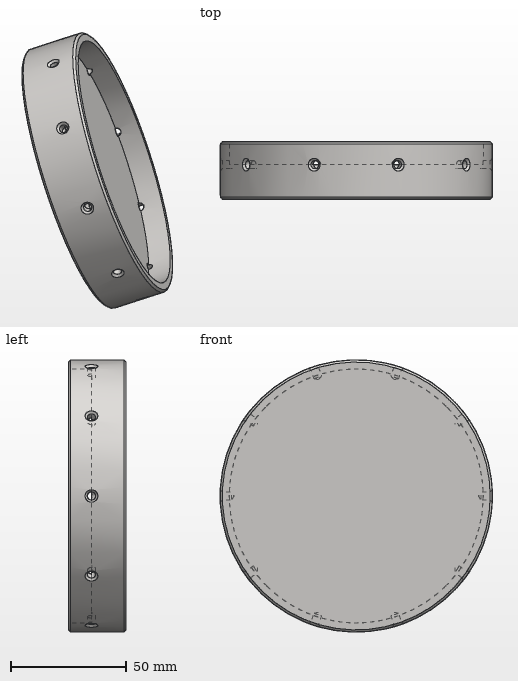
import cadquery as cq
import math

outer_diameter = 118.0
thickness = 25.0
edge_chamfer = 1.0

wall_thickness = 4.0
pocket_depth = 10.0

hole_count = 10
hole_diameter = 3.5
drill_point_angle = 118.0
countersink_diameter = 5.5
countersink_angle = 90.0
drilling_past_wall = 1.0

outer_radius = outer_diameter / 2
pocket_radius = outer_radius - wall_thickness
hole_radius = hole_diameter / 2
countersink_radius = countersink_diameter / 2
hole_depth = wall_thickness + drilling_past_wall
hole_y = thickness - pocket_depth
hole_spacing = 360.0 / hole_count


def cone_height(radius_change, included_angle):
    """Axial length over which a cone changes its radius by the given amount."""
    return radius_change / math.tan(math.radians(included_angle / 2))


def make_cap():
    """Disc chamfered on both rims, with a round pocket in its back face."""
    disc = cq.Workplane("XZ").circle(outer_radius).extrude(-thickness)
    disc = disc.edges().chamfer(edge_chamfer)
    pocket = (
        cq.Workplane("XZ", origin=(0, thickness, 0))
        .circle(pocket_radius)
        .extrude(pocket_depth)
    )
    return disc.cut(pocket)


def make_hole_tool():
    """Solid of the hole on the +X side: countersink, bore and drill point turned about its axis."""
    bore_end = outer_radius - hole_depth
    point_tip = bore_end - cone_height(hole_radius, drill_point_angle)
    countersink_end = outer_radius - cone_height(countersink_radius - hole_radius, countersink_angle)
    half_profile = (
        cq.Workplane("XY", origin=(0, hole_y, 0))
        .moveTo(point_tip, 0)
        .lineTo(bore_end, hole_radius)
        .lineTo(countersink_end, hole_radius)
        .lineTo(outer_radius, countersink_radius)
        .lineTo(outer_radius, 0)
        .close()
    )
    return half_profile.revolve(360, (0, 0, 0), (1, 0, 0))


def drill_radial_holes(body):
    """Cut the evenly spaced ring of holes around the rim."""
    hole_tool = make_hole_tool()
    for index in range(hole_count):
        body = body.cut(hole_tool.rotate((0, 0, 0), (0, 1, 0), index * hole_spacing))
    return body


result = drill_radial_holes(make_cap())